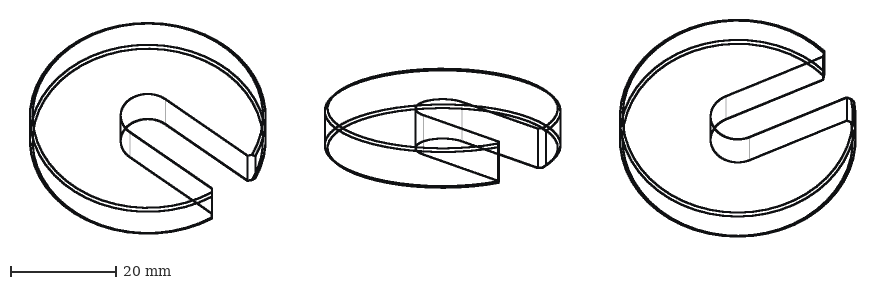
import cadquery as cq
import math

outer_diameter = 44.9
thickness = 8.0
rim_chamfer = 0.55
slot_width = 10.35
mouth_half_width = 6.38
mouth_start_x = 20.55

outer_radius = outer_diameter / 2
slot_radius = slot_width / 2
mouth_end_x = math.sqrt(outer_radius**2 - mouth_half_width**2)


def make_disc():
    """Disc centred on Z, chamfered around both faces."""
    disc = cq.Workplane("XY").circle(outer_radius).extrude(thickness)
    return disc.edges("%CIRCLE").chamfer(rim_chamfer)


def make_slot():
    """Round-ended slot from the disc centre, flared where it meets the rim."""
    return (
        cq.Workplane("XY")
        .moveTo(0, slot_radius)
        .threePointArc((-slot_radius, 0), (0, -slot_radius))
        .lineTo(mouth_start_x, -slot_radius)
        .lineTo(mouth_end_x, -mouth_half_width)
        .lineTo(outer_diameter, -mouth_half_width)
        .lineTo(outer_diameter, mouth_half_width)
        .lineTo(mouth_end_x, mouth_half_width)
        .lineTo(mouth_start_x, slot_radius)
        .close()
        .extrude(thickness)
    )


result = make_disc().cut(make_slot())